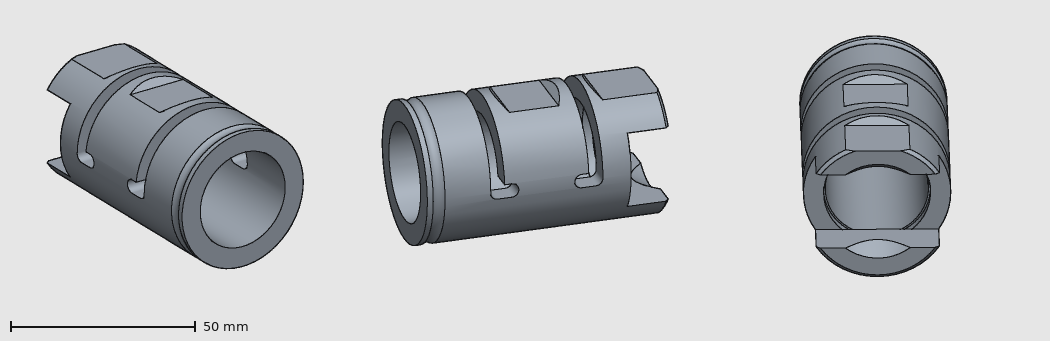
import cadquery as cq
import math

length = 70.0
outer_radius = 40.0 / 2
bore_radius = 28.0 / 2
overcut = 0.7
wide = 2 * (outer_radius + overcut)

fork_depth = 12.0
fork_half_gap = 10.9
front_chamfer = 1.0
countersink_radius = bore_radius
countersink_angle = 30.0

relief_radius = 29.0 / 2
relief_length = 3.0

flat_height = 18.0
front_flat_end = 16.45
middle_flat_start = 29.0
middle_flat_end = 43.0

slot_width = 4.0
slot_start = 20.0
hook_length = 8.0
slot_mirror_x = (middle_flat_start + middle_flat_end) / 2

groove_start = 64.95
groove_end = 68.3
groove_depth = 0.55


def cylinder(radius, start, end):
    """Solid cylinder on the X axis."""
    return cq.Workplane("YZ", origin=(start, 0, 0)).circle(radius).extrude(end - start)


def through_y(sketch):
    """Extrude an XZ outline through the whole width, centred on Y = 0."""
    return sketch.extrude(wide / 2, both=True)


def flat_cutter(start, end, ramp_at_start):
    """Material above a flat, with a ramp at the rear and optionally the front."""
    rise = outer_radius + overcut - flat_height
    top_start = start - rise if ramp_at_start else start
    outline = cq.Workplane("XZ").polyline(
        [
            (start, flat_height),
            (end, flat_height),
            (end + rise, flat_height + rise),
            (top_start, flat_height + rise),
        ]
    ).close()
    return through_y(outline)


def slot_cutter():
    """Front slot: down from the top, turning rearward into a round-ended hook."""
    half = slot_width / 2
    leg = cq.Workplane("XZ").center(slot_start + half, wide / 4).rect(slot_width, wide / 2)
    hook = cq.Workplane("XZ").center(slot_start + hook_length / 2, 0).slot2D(hook_length, slot_width)
    return through_y(leg).union(through_y(hook))


def bore_cutter():
    """Stepped bore behind the fork."""
    bore = cylinder(bore_radius, fork_depth, length)
    return bore.union(cylinder(relief_radius, fork_depth, fork_depth + relief_length))


def countersink_cutter():
    """Conical lead-in between the prongs."""
    depth = countersink_radius / math.tan(math.radians(countersink_angle))
    profile = cq.Workplane("XY").polyline([(0, 0), (depth, 0), (0, countersink_radius)]).close()
    return profile.revolve(360, (0, 0, 0), (1, 0, 0))


def groove_cutter():
    """Ring with an arc-shaped inner side."""
    middle = (groove_start + groove_end) / 2
    profile = (
        cq.Workplane("XY")
        .moveTo(groove_start, outer_radius)
        .threePointArc((middle, outer_radius - groove_depth), (groove_end, outer_radius))
        .lineTo(groove_end, outer_radius + overcut)
        .lineTo(groove_start, outer_radius + overcut)
        .close()
    )
    return profile.revolve(360, (0, 0, 0), (1, 0, 0))


body = cylinder(outer_radius, 0, length).faces("<X").chamfer(front_chamfer)
fork_gap = through_y(cq.Workplane("XZ").center(fork_depth / 2, 0).rect(fork_depth, 2 * fork_half_gap))
front_slot = slot_cutter()
rear_slot = front_slot.mirror("YZ", (slot_mirror_x, 0, 0))

result = (
    body.cut(fork_gap)
    .cut(bore_cutter())
    .cut(countersink_cutter())
    .cut(flat_cutter(0, front_flat_end, False))
    .cut(flat_cutter(middle_flat_start, middle_flat_end, True))
    .cut(front_slot)
    .cut(rear_slot)
    .cut(groove_cutter())
)